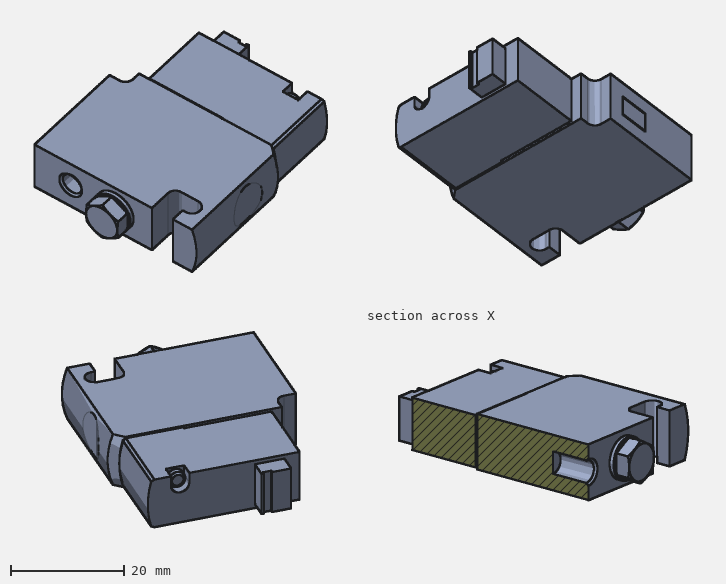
import cadquery as cq
import math


body_length = 36.0
body_depth = 25.3
thickness = 10.5
mid_z = thickness / 2
body_crown = 1.0
body_chamfer = 1.6
step_width = 3.9
step_y = 21.85
step_fillet = 1.7

slot_left = 26.1
hook_left = 30.75
slot_right = 33.25
slot_low = 2.85
slot_high = 6.3
slot_fillet = 1.6

relief_y = 15.0
relief_chord = 8.2
relief_depth = 0.65

label_y = 15.5
label_length = 6.1
label_height = 4.1
label_depth = 0.1

port_x = 8.05
port_diameter = 4.13
port_depth = 8.0
port_chamfer = 0.45

plug_x = 18.0
collar_diameter = 8.09
collar_height = 1.1
collar_chamfer = 0.2
plug_height = 4.0
hex_flats = 7.0
hex_face_diameter = 6.9
hex_chamfer_height = 0.25

upper_left = 5.9
upper_right = 34.4
upper_end_y = 40.05
upper_inset = 0.3
upper_crown = 0.65
upper_chamfer_width = 0.6
upper_chamfer_height = 0.3
gap_width = 0.35
gap_end_x = 22.25

tab_left = 8.75
tab_right = 14.3
tab_end_y = 43.55
tab_height = 8.3
notch_left = 12.35
notch_right = 13.85
notch_depth = 0.5

screw_x = 28.3
screw_z = 8.25
pocket_width = 3.4
pocket_depth = 2.7
head_diameter = 3.1
head_height = 1.35
head_chamfer_height = 0.3
head_chamfer_width = 0.45


def box(x0, x1, y0, y1, z0, z1):
    return cq.Workplane("XY").box(x1 - x0, y1 - y0, z1 - z0, centered=False).translate((x0, y0, z0))


def cylinder_y(diameter, x, z, y_start, y_end):
    """Cylinder whose axis runs along Y."""
    direction = cq.Vector(0, 1 if y_end > y_start else -1, 0)
    start = cq.Vector(x, y_start, z)
    return cq.Workplane(cq.Solid.makeCylinder(diameter / 2, abs(y_end - y_start), start, direction))


def make_body():
    edge_x = body_length - body_crown
    body = (
        cq.Workplane("XZ")
        .lineTo(edge_x, 0)
        .threePointArc((body_length, mid_z), (edge_x, thickness))
        .lineTo(0, thickness)
        .close()
        .extrude(-body_depth)
    )
    body = body.faces(">Y").edges(">X").chamfer(body_chamfer)
    step = box(0, step_width, step_y, body_depth, 0, thickness)
    step = step.edges("|Z and >X and <Y").fillet(step_fillet)
    return body.cut(step)


def make_clip_slot():
    round_radius = (slot_high - slot_low) / 2
    round_x = slot_right - round_radius
    slot = (
        cq.Workplane("XY")
        .moveTo(slot_left, 0)
        .lineTo(hook_left, 0)
        .lineTo(hook_left, slot_low)
        .lineTo(round_x, slot_low)
        .threePointArc((slot_right, slot_low + round_radius), (round_x, slot_high))
        .lineTo(slot_left, slot_high)
        .close()
        .extrude(thickness)
    )
    return slot.edges("|Z and <X and >Y").fillet(slot_fillet)


def make_finger_relief():
    radius = ((relief_chord / 2) ** 2 + relief_depth**2) / (2 * relief_depth)
    center_x = body_length - relief_depth + radius
    return cq.Workplane("XY").center(center_x, relief_y).circle(radius).extrude(thickness)


def make_label_recess():
    y_low = label_y - label_length / 2
    y_high = label_y + label_length / 2
    z_low = mid_z - label_height / 2
    z_high = mid_z + label_height / 2
    return box(0, label_depth, y_low, y_high, z_low, z_high)


def make_port():
    bore = cylinder_y(port_diameter, port_x, mid_z, 0, port_depth)
    mouth_radius = port_diameter / 2 + port_chamfer
    mouth = cq.Solid.makeCone(
        mouth_radius, port_diameter / 2, port_chamfer, cq.Vector(port_x, 0, mid_z), cq.Vector(0, 1, 0)
    )
    return bore.union(cq.Workplane(mouth))


def make_plug():
    collar = cylinder_y(collar_diameter, plug_x, mid_z, 0, -collar_height)
    collar = collar.faces("<Y").chamfer(collar_chamfer)
    half_corner_angle = math.radians(30)
    hex_corners = hex_flats / math.cos(half_corner_angle)
    head = (
        cq.Workplane("XZ", origin=(plug_x, -collar_height, mid_z))
        .transformed(rotate=(0, 0, 90))
        .polygon(6, hex_corners)
        .extrude(plug_height - collar_height)
    )
    envelope = cylinder_y(hex_corners, plug_x, mid_z, -collar_height, -plug_height)
    face_reduction = (hex_corners - hex_face_diameter) / 2
    envelope = envelope.faces("<Y").chamfer(hex_chamfer_height, face_reduction)
    return collar.union(head.intersect(envelope))


def make_upper_block():
    low = upper_inset
    high = thickness - upper_inset
    crown_x = upper_right - upper_crown
    flat_x = crown_x - upper_chamfer_width
    block = (
        cq.Workplane("XZ", origin=(0, body_depth, 0))
        .moveTo(upper_left, low)
        .lineTo(flat_x, low)
        .lineTo(crown_x, low + upper_chamfer_height)
        .threePointArc((upper_right, mid_z), (crown_x, high - upper_chamfer_height))
        .lineTo(flat_x, high)
        .lineTo(upper_left, high)
        .close()
        .extrude(body_depth - upper_end_y)
    )
    gap = box(upper_left, gap_end_x, body_depth, body_depth + gap_width, 0, thickness)
    return block.cut(gap)


def make_tab():
    low = mid_z - tab_height / 2
    high = mid_z + tab_height / 2
    tab = box(tab_left, tab_right, upper_end_y, tab_end_y, low, high)
    notch = box(notch_left, notch_right, tab_end_y - notch_depth, tab_end_y, low, high)
    return tab.cut(notch)


def make_screw_pocket():
    half_width = pocket_width / 2
    floor_y = upper_end_y - pocket_depth
    channel = cylinder_y(pocket_width, screw_x, screw_z, floor_y, upper_end_y)
    opening = box(screw_x - half_width, screw_x + half_width, floor_y, upper_end_y, screw_z, thickness)
    return channel.union(opening)


def make_screw_head():
    floor_y = upper_end_y - pocket_depth
    head = cylinder_y(head_diameter, screw_x, screw_z, floor_y, floor_y + head_height)
    return head.faces(">Y").chamfer(head_chamfer_height, head_chamfer_width)


body = (
    make_body()
    .cut(make_clip_slot())
    .cut(make_finger_relief())
    .cut(make_label_recess())
    .cut(make_port())
)
upper = make_upper_block().cut(make_screw_pocket()).union(make_screw_head())
result = body.union(upper).union(make_tab()).union(make_plug())